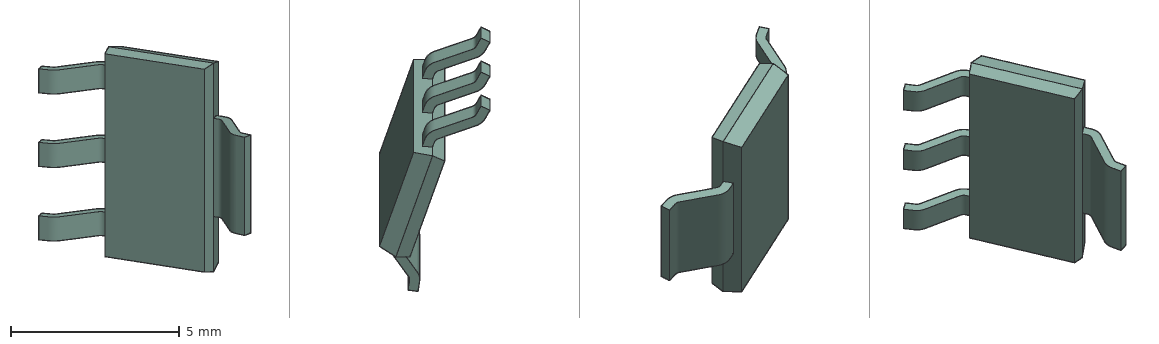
import cadquery as cq
import math

overall_width = 7.0
overall_depth = 1.8

housing_width = 3.52
housing_height = 6.5
back_depth = 0.55
front_depth = 0.41
draft_angle = 12.5

strip_thickness = 0.3
inner_bend_radius = 0.195
slope_angle = 51.0
foot_angle = 10.0
foot_length = 0.315
root_overrun = 0.35

lead_width = 0.75
lead_pitch = 2.29
lead_count = 3
tab_width = 3.06


def make_housing_half(direction, depth):
    """Drafted half growing from the parting plane; direction is +1 for +Y, -1 for -Y."""
    plane = cq.Plane(origin=(0, 0, 0), xDir=(1, 0, 0), normal=(0, direction, 0))
    return cq.Workplane(plane).rect(housing_width, housing_height).extrude(depth, taper=draft_angle)


def make_housing():
    """Two drafted halves joined at the parting plane."""
    return make_housing_half(-1, front_depth).union(make_housing_half(1, back_depth))


def make_strip_path():
    """Centreline of a strip on the -X side, from its foot tip to inside the housing."""
    slope = math.radians(slope_angle)
    foot = math.radians(foot_angle)
    half_thickness = strip_thickness / 2
    bend_radius = inner_bend_radius + half_thickness

    tip_x = -overall_width / 2 + half_thickness * math.sin(foot)
    tip_y = back_depth - overall_depth + half_thickness * math.cos(foot)
    foot_end_x = tip_x + foot_length * math.cos(foot)
    foot_end_y = tip_y + foot_length * math.sin(foot)

    foot_centre_x = foot_end_x - bend_radius * math.sin(foot)
    foot_centre_y = foot_end_y + bend_radius * math.cos(foot)
    middle_angle = (foot + slope) / 2

    def foot_bend_point(angle):
        x = foot_centre_x + bend_radius * math.sin(angle)
        y = foot_centre_y - bend_radius * math.cos(angle)
        return (x, y)

    slope_start = foot_bend_point(slope)

    shoulder_y = half_thickness
    shoulder_centre_y = shoulder_y - bend_radius
    slope_end_y = shoulder_centre_y + bend_radius * math.cos(slope)
    slope_end_x = slope_start[0] + (slope_end_y - slope_start[1]) / math.tan(slope)
    shoulder_x = slope_end_x + bend_radius * math.sin(slope)
    shoulder_middle = (
        shoulder_x - bend_radius * math.sin(slope / 2),
        shoulder_centre_y + bend_radius * math.cos(slope / 2),
    )

    return (
        cq.Workplane("XY")
        .moveTo(tip_x, tip_y)
        .lineTo(foot_end_x, foot_end_y)
        .threePointArc(foot_bend_point(middle_angle), slope_start)
        .lineTo(slope_end_x, slope_end_y)
        .threePointArc(shoulder_middle, (shoulder_x, shoulder_y))
        .lineTo(-housing_width / 2 + root_overrun, shoulder_y)
    )


def make_strip(width, housing):
    """Formed strip on the -X side, centred on Z = 0 and ending on the housing face."""
    path = make_strip_path().wire()
    foot = math.radians(foot_angle)
    section_plane = cq.Plane(
        origin=path.val().startPoint().toTuple(),
        xDir=(0, 0, 1),
        normal=(math.cos(foot), math.sin(foot), 0),
    )
    strip = cq.Workplane(section_plane).rect(width, strip_thickness).sweep(path)
    return strip.cut(housing).solids()


def make_leads(housing):
    """Evenly spaced narrow leads along the -X side."""
    leads = []
    for index in range(lead_count):
        z = (index - (lead_count - 1) / 2) * lead_pitch
        leads.append(make_strip(lead_width, housing).translate((0, 0, z)).val())
    return leads


def make_tab(housing):
    """Single wide tab on the +X side, with the same profile as the leads."""
    return make_strip(tab_width, housing).mirror("YZ")


housing = make_housing()
leads = make_leads(housing)
tab = make_tab(housing)

result = cq.Compound.makeCompound([housing.val(), *leads, tab.val()])